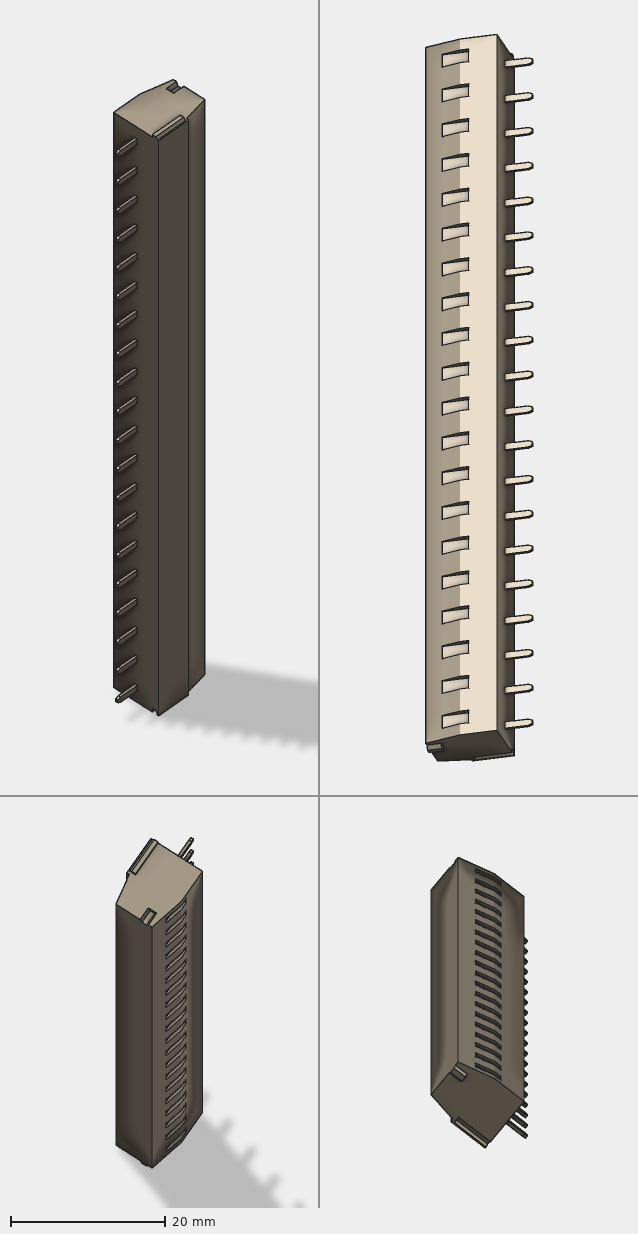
import cadquery as cq

contact_count = 20
total_length = 101.0
rail_height = 0.4
peg_height = 0.6
body_length = total_length - rail_height - peg_height
pitch = body_length / contact_count

body_width = 8.1
body_depth = 10.0
back_left = 1.2
back_right = 6.9
left_shoulder = 4.9
ledge_y = 5.7
ledge_width = 0.4

window_start = 3.8
window_end = 7.6
window_height = 1.8
window_floor = 0.8

pin_length = 3.6
pin_thickness = 0.4
pin_height = 0.9
pin_tip_length = 0.5
pin_tip_inset = 0.2
pin_root = 0.5

rail_left = 7.0
rail_right = 7.9
rail_taper = 0.3
rail_end = 5.3
rail_clearance = 0.2
peg_center = 2.4
peg_tip_width = 0.7
peg_root_width = 1.3
peg_reach = 1.9


def make_housing():
    """Straight body with the housing cross-section, standing on Z = 0."""
    outline = [
        (0, 0),
        (body_width, 0),
        (body_width, ledge_y),
        (body_width - ledge_width, ledge_y),
        (back_right, body_depth),
        (back_left, body_depth),
        (0, left_shoulder),
    ]
    return cq.Workplane("XY").polyline(outline).close().extrude(body_length)


def make_rail(base_z, height):
    """Rail along the right side, starting at the front face, with a leaning right flank."""
    outline = [
        (rail_left, base_z),
        (rail_right, base_z),
        (rail_right - rail_taper, base_z + height),
        (rail_left, base_z + height),
    ]
    return cq.Workplane("XZ").polyline(outline).close().extrude(-rail_end)


def make_peg(root_z):
    """Tapered peg at the back face, narrowing downwards from root_z."""
    root = peg_root_width / 2
    tip = peg_tip_width / 2
    outline = [
        (peg_center - root, root_z),
        (peg_center + root, root_z),
        (peg_center + tip, root_z - peg_height),
        (peg_center - tip, root_z - peg_height),
    ]
    peg = cq.Workplane("XZ", origin=(0, body_depth, 0)).polyline(outline).close()
    return peg.extrude(peg_reach)


def make_window(center_z):
    """Block that cuts one window, from the left side to the flat window floor."""
    corner = (0, window_start, center_z - window_height / 2)
    block = cq.Workplane("XY").box(
        window_floor, window_end - window_start, window_height, centered=False
    )
    return block.translate(corner)


def make_pin(center_z):
    """Flat pin whose tip is tapered above and below."""
    half = pin_height / 2
    tip = half - pin_tip_inset
    outline = [
        (pin_root, -half),
        (pin_root, half),
        (pin_tip_length - pin_length, half),
        (-pin_length, tip),
        (-pin_length, -tip),
        (pin_tip_length - pin_length, -half),
    ]
    pin = cq.Workplane("YZ", origin=(body_width / 2, 0, center_z)).polyline(outline).close()
    return pin.extrude(pin_thickness / 2, both=True)


result = make_housing()
result = result.cut(make_rail(0, rail_height + rail_clearance))
result = result.cut(make_peg(body_length))
for index in range(contact_count):
    contact_z = (index + 0.5) * pitch
    result = result.cut(make_window(contact_z))
    result = result.union(make_pin(contact_z))
result = result.union(make_rail(body_length, rail_height))
result = result.union(make_peg(0))